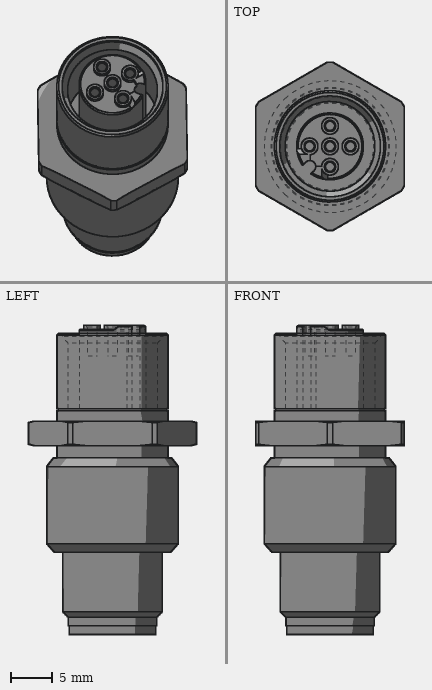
import cadquery as cq
import math

total_height = 37.5
nose_height = 1.05
collar_height = 2.1
plug_height = 2.78
body_bottom_height = 9.98
body_side_bottom_height = 11.02
body_side_top_height = 20.35
body_top_height = 21.4
nut_bottom_height = 22.88
nut_thickness = 3.0
groove_bottom_height = 27.1
groove_top_height = 27.38
sleeve_top_height = 36.5

nose_radius = 5.25
collar_radius = 5.35
plug_radius = 6.05
body_radius = 8.0
body_bottom_radius = 7.05
body_top_radius = 7.15
sleeve_radius = 6.75
groove_radius = 6.6
sleeve_chamfer = 0.22

nut_across_flats = 18.0
nut_corner_radius = 10.2
nut_face_radius = 9.5
nut_chamfer_height = 0.2

socket_mouth_radius = 6.1
socket_radius = 5.45
socket_mouth_depth = 0.38
socket_taper_depth = 0.75
socket_floor_height = groove_top_height

insert_radius = 4.05
insert_top_height = 37.0
insert_chamfer = 0.2

contact_offset = 2.48
contact_radius = 1.0
contact_mouth_radius = 0.68
contact_bore_radius = 0.55
contact_mouth_depth = 0.2
contact_bore_depth = 3.75

keyway_radius = 0.7
keyway_center_offset = 3.45
keyway_angle = 225
pad_inner_offset = 2.4
pad_ramp_length = 0.98


def disc(radius, bottom, top):
    return cq.Workplane("XY").workplane(offset=bottom).circle(radius).extrude(top - bottom)


def make_housing():
    """Turned outer housing with the lead-in socket at the top."""
    socket_taper_top = sleeve_top_height - socket_mouth_depth
    profile = [
        (0, 0),
        (nose_radius, 0),
        (nose_radius, nose_height),
        (collar_radius, nose_height),
        (collar_radius, collar_height),
        (plug_radius, plug_height),
        (plug_radius, body_bottom_height),
        (body_bottom_radius, body_bottom_height),
        (body_radius, body_side_bottom_height),
        (body_radius, body_side_top_height),
        (body_top_radius, body_top_height),
        (sleeve_radius, body_top_height),
        (sleeve_radius, groove_bottom_height),
        (groove_radius, groove_bottom_height),
        (groove_radius, groove_top_height),
        (sleeve_radius, groove_top_height),
        (sleeve_radius, sleeve_top_height - sleeve_chamfer),
        (sleeve_radius - sleeve_chamfer, sleeve_top_height),
        (socket_mouth_radius, sleeve_top_height),
        (socket_mouth_radius, socket_taper_top),
        (socket_radius, socket_taper_top - socket_taper_depth),
        (socket_radius, socket_floor_height),
        (0, socket_floor_height),
    ]
    return cq.Workplane("XZ").polyline(profile).close().revolve(360, (0, 0), (0, 1))


def make_nut():
    """Hexagon with flats facing X, its corners turned round and chamfered on both faces."""
    across_corners = nut_across_flats / math.cos(math.radians(30))
    hexagon = (
        cq.Workplane("XY")
        .workplane(offset=nut_bottom_height)
        .transformed(rotate=(0, 0, 30))
        .polygon(6, across_corners)
        .extrude(nut_thickness)
    )
    nut_top_height = nut_bottom_height + nut_thickness
    turned_profile = [
        (0, nut_bottom_height),
        (nut_face_radius, nut_bottom_height),
        (nut_corner_radius, nut_bottom_height + nut_chamfer_height),
        (nut_corner_radius, nut_top_height - nut_chamfer_height),
        (nut_face_radius, nut_top_height),
        (0, nut_top_height),
    ]
    envelope = cq.Workplane("XZ").polyline(turned_profile).close().revolve(360, (0, 0), (0, 1))
    return hexagon.intersect(envelope)


def make_guide_pad():
    """Raised pad on the -X side of the insert, ramping up from the X axis towards -Y."""
    ramp_profile = [
        (0, socket_floor_height),
        (0, insert_top_height - insert_chamfer),
        (-pad_ramp_length, total_height),
        (-insert_radius, total_height),
        (-insert_radius, socket_floor_height),
    ]
    ramp = (
        cq.Workplane("YZ")
        .workplane(offset=-insert_radius)
        .polyline(ramp_profile)
        .close()
        .extrude(insert_radius - pad_inner_offset)
    )
    rounded = disc(insert_radius, socket_floor_height, total_height)
    return ramp.intersect(rounded.faces(">Z").chamfer(insert_chamfer))


def make_insert():
    """Contact carrier standing in the socket, with guide pads, contacts and keyway."""
    insert = disc(insert_radius, socket_floor_height, insert_top_height)
    insert = insert.faces(">Z").chamfer(insert_chamfer)

    pad = make_guide_pad()
    mirrored_pad = pad.mirror("YZ").rotate((0, 0, 0), (0, 0, 1), -90)
    insert = insert.union(pad).union(mirrored_pad)

    keyway_length = 2 * keyway_radius
    keyway_height = total_height - socket_floor_height
    keyway = (
        disc(keyway_radius, socket_floor_height, total_height)
        .union(
            cq.Workplane("XY")
            .workplane(offset=socket_floor_height)
            .center(keyway_length / 2, 0)
            .rect(keyway_length, 2 * keyway_radius)
            .extrude(keyway_height)
        )
        .translate((keyway_center_offset, 0, 0))
        .rotate((0, 0, 0), (0, 0, 1), keyway_angle)
    )
    insert = insert.cut(keyway)

    contact_places = [(0, 0)]
    for side in (-1, 1):
        contact_places.append((side * contact_offset, 0))
        contact_places.append((0, side * contact_offset))

    contact = disc(contact_radius, socket_floor_height, total_height)
    mouth = disc(contact_mouth_radius, total_height - contact_mouth_depth, total_height)
    bore = disc(contact_bore_radius, total_height - contact_bore_depth, total_height)
    opening = mouth.union(bore)
    for x, y in contact_places:
        insert = insert.union(contact.translate((x, y, 0)))
        insert = insert.cut(opening.translate((x, y, 0)))
    return insert


result = make_housing().union(make_nut()).union(make_insert())